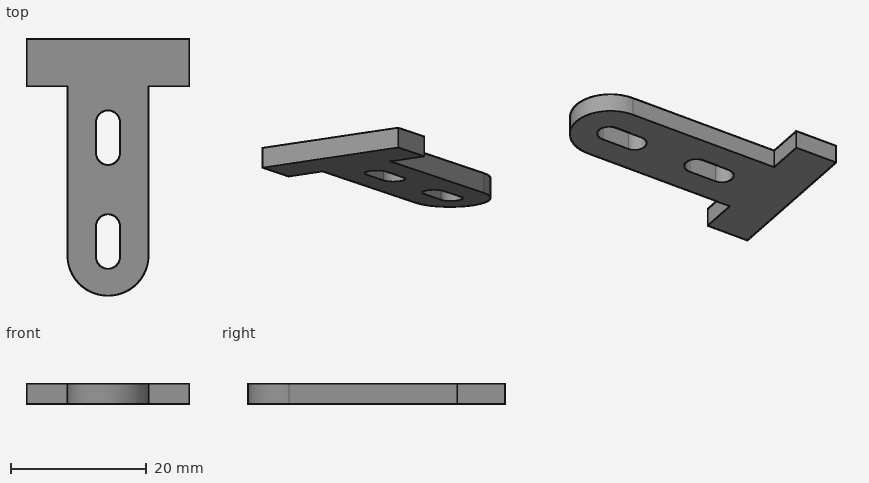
import cadquery as cq

thickness = 3.0
total_length = 37.85

bar_width = 24.0
bar_depth = 7.0

stem_width = 12.0
stem_radius = stem_width / 2

slot_count = 2
slot_width = 3.5
slot_length = 8.0
slot_end_margin = 4.0
slot_spacing = 15.3
slot_angle = 90

tip_y = -stem_radius
bar_back_y = tip_y + total_length
bar_front_y = bar_back_y - bar_depth
first_slot_y = tip_y + slot_end_margin + slot_length / 2
slot_centres = [(0, first_slot_y + i * slot_spacing) for i in range(slot_count)]


def make_plate():
    """T-shaped plate with a rounded stem end."""
    return (
        cq.Workplane("XY")
        .moveTo(-stem_radius, 0)
        .threePointArc((0, tip_y), (stem_radius, 0))
        .lineTo(stem_radius, bar_front_y)
        .lineTo(bar_width / 2, bar_front_y)
        .lineTo(bar_width / 2, bar_back_y)
        .lineTo(-bar_width / 2, bar_back_y)
        .lineTo(-bar_width / 2, bar_front_y)
        .lineTo(-stem_radius, bar_front_y)
        .close()
        .extrude(thickness)
    )


def cut_slots(plate):
    """Cut the round-ended slots through the full thickness, lengthwise along Y."""
    slots = (
        cq.Workplane("XY")
        .pushPoints(slot_centres)
        .slot2D(slot_length, slot_width, slot_angle)
        .extrude(thickness)
    )
    return plate.cut(slots)


result = cut_slots(make_plate())